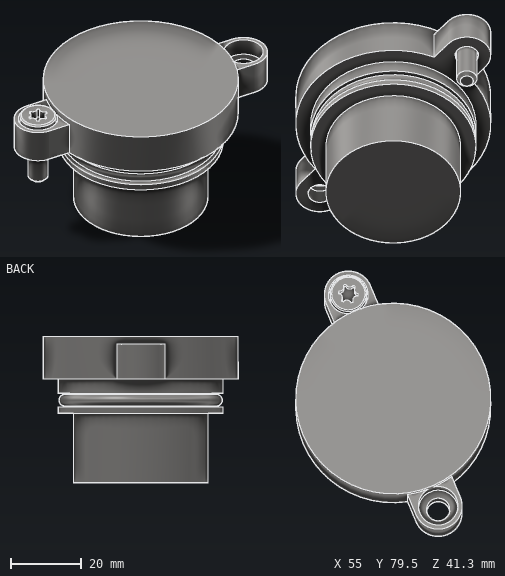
import cadquery as cq
import math

total_height = 41.3
cover_radius = 27.5
cover_thickness = 12.0
collar_radius = 23.3
collar_height = 4.05
groove_width = 3.8
groove_radius = 20.0
flange_thickness = 1.8
spigot_radius = 19.0

cover_bottom = total_height - cover_thickness
groove_top = cover_bottom - collar_height
groove_bottom = groove_top - groove_width
flange_bottom = groove_bottom - flange_thickness

ring_section_radius = 1.7
ring_outer_radius = 23.05

overall_length = 79.5
lug_radius = 6.75
lug_side_shift = 0.12
lug_step = 2.15
lug_center = overall_length / 2 - lug_radius
lug_height = cover_thickness - lug_step
lug_top = cover_bottom + lug_height
counterbore_radius = 5.6
counterbore_depth = 5.0
screw_hole_radius = 3.25
seat_level = lug_top - counterbore_depth

head_radius = 5.1
head_protrusion = 1.2
head_chamfer = 0.4
head_top = lug_top + head_protrusion
shank_radius = 2.9
shank_projection = 11.1
shank_chamfer = 1.0
shank_bottom = cover_bottom - shank_projection

lobes = 6
lobe_radius = 2.8
valley_radius = 1.9
lobe_half_angle = 7
lobe_corner_radius = 2.7
drive_depth = 2.8


def disc(radius, bottom, top):
    """Cylinder about Z between two levels."""
    return cq.Workplane("XY").workplane(offset=bottom).circle(radius).extrude(top - bottom)


def polar(radius, degrees):
    """Point at a radius and an angle from +X."""
    angle = math.radians(degrees)
    return (radius * math.cos(angle), radius * math.sin(angle))


def make_plug():
    """Cover, collar, grooved neck, flange and spigot."""
    return (
        disc(cover_radius, cover_bottom, total_height)
        .union(disc(collar_radius, groove_top, cover_bottom))
        .union(disc(groove_radius, groove_bottom, groove_top))
        .union(disc(collar_radius, flange_bottom, groove_bottom))
        .union(disc(spigot_radius, 0, flange_bottom))
    )


def make_seal_ring():
    """Torus midway between the groove walls."""
    ring_level = (groove_top + groove_bottom) / 2
    ring_radius = ring_outer_radius - ring_section_radius
    return (
        cq.Workplane("XZ")
        .center(ring_radius, ring_level)
        .circle(ring_section_radius)
        .revolve(360, (-ring_radius, 0), (-ring_radius, 1))
    )


def make_lug(side):
    """Round-ended lug with a counterbored hole; side is +1 for +Y, -1 for -Y."""
    center = side * lug_center
    arm = (
        cq.Workplane("XY")
        .workplane(offset=cover_bottom)
        .center(0, center / 2)
        .rect(2 * lug_radius, lug_center)
        .extrude(lug_height)
    )
    bore = disc(screw_hole_radius, cover_bottom, lug_top)
    counterbore = disc(counterbore_radius, seat_level, lug_top)
    return (
        arm.union(disc(lug_radius, cover_bottom, lug_top).translate((0, center, 0)))
        .cut(bore.union(counterbore).translate((0, center, 0)))
    )


def make_drive_recess():
    """Star-shaped recess with rounded lobes and hollow flanks."""
    pitch = 360 / lobes
    first_lobe = 90
    start = polar(lobe_corner_radius, first_lobe - lobe_half_angle)
    outline = cq.Workplane("XY").workplane(offset=head_top - drive_depth).moveTo(*start)
    for index in range(lobes):
        lobe = first_lobe + index * pitch
        outline = outline.threePointArc(
            polar(lobe_radius, lobe),
            polar(lobe_corner_radius, lobe + lobe_half_angle),
        ).threePointArc(
            polar(valley_radius, lobe + pitch / 2),
            polar(lobe_corner_radius, lobe + pitch - lobe_half_angle),
        )
    return outline.close().extrude(drive_depth)


def make_screw():
    """Cap screw resting on the counterbore seat of the -Y lug."""
    head = disc(head_radius, seat_level, head_top).faces(">Z").edges().chamfer(head_chamfer)
    shank = disc(shank_radius, shank_bottom, seat_level).faces("<Z").edges().chamfer(shank_chamfer)
    return head.union(shank).cut(make_drive_recess()).translate((0, -lug_center, 0))


result = (
    make_lug(1).translate((-lug_side_shift, 0, 0))
    .union(make_lug(-1).translate((lug_side_shift, 0, 0)))
    .union(make_plug())
    .union(make_seal_ring())
    .union(make_screw().translate((lug_side_shift, 0, 0)))
)